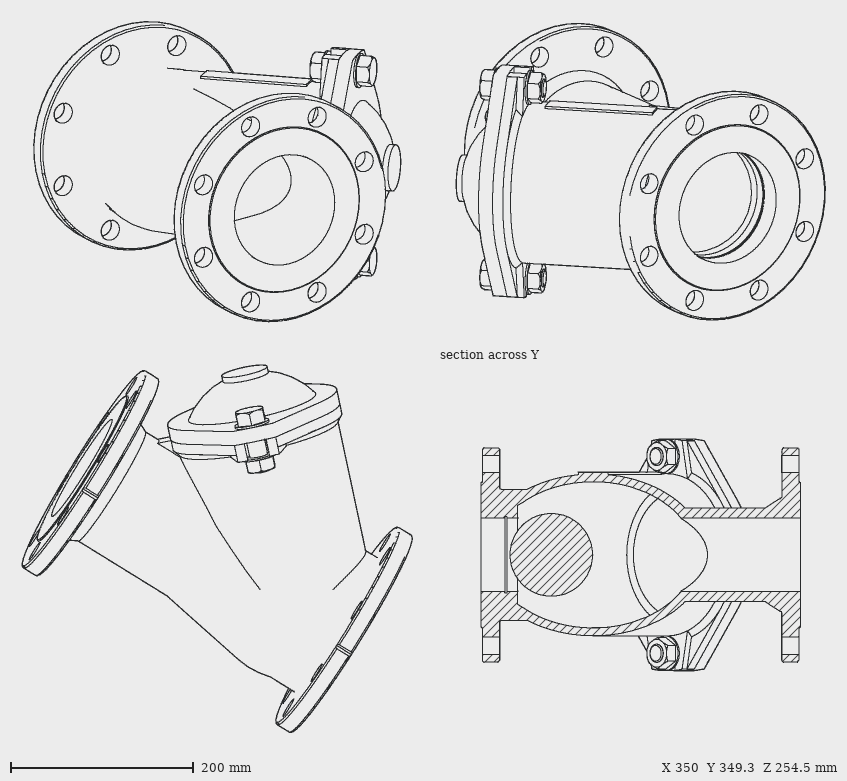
import cadquery as cq
import math

LENGTH = 350.0
FLANGE_RADIUS = 127.0
FLANGE_THICKNESS = 20.5
FLANGE_EDGE_FILLET = 2.0
FACE_RADIUS = 93.5
FACE_HEIGHT = 1.5
FACE_CHAMFER = 1.0
BOLT_CIRCLE_RADIUS = 107.8
BOLT_HOLE_DIAMETER = 22.5
BOLT_HOLE_COUNT = 8
NOTCH_WIDTH = 5.2
NOTCH_DEPTH = 2.5
NECK_RADIUS = 86.5
OUTLET_RADIUS = 70.5
OUTLET_START = 196.7
HUB_START = 311.5
HUB_RADIUS = 78.5
ROOT_FILLET = 1.8
BORE_RADIUS = 62.3
SEAT_END = 40.2
SEAT_GROOVE_START = 26.2
SEAT_GROOVE_WIDTH = 2.0
SEAT_GROOVE_DEPTH = 1.0

CHAMBER_X = 77.0
CHAMBER_OUTER_RADIUS = 90.0
WALL = 9.0
CHAMBER_RADIUS = CHAMBER_OUTER_RADIUS - WALL
BALL_RADIUS = 66.0

BRANCH_ANGLE = 46.0
BRANCH_RADIUS = 89.0
SEAM_HEIGHT = 201.5
HOUSING_FLANGE_THICKNESS = 11.5
RIM_CONE_HEIGHT = 7.5
COVER_THICKNESS = 15.8
RIM_RADIUS = 95.0
LUG_SPAN = 254.5
LUG_HALF_WIDTH = 23.0
LUG_EDGE_FILLET = 2.0
PAD_THICKNESS = 19.2
PAD_ROOT_HALF_WIDTH = 31.5
PAD_ROOT = 82.2
SLOT_WIDTH = 24.0
WEB_WIDTH = 25.2
WEB_REACH = 112.0
WEB_DEPTH = 26.2
NAMEPLATE_START = 41.0
NAMEPLATE_LENGTH = 120.5
NAMEPLATE_WIDTH = 23.8
NAMEPLATE_HEIGHT = 1.8

DOME_HEIGHT = 170.5
DOME_RADIUS = 85.5
PLUG_RADIUS = 25.5
PLUG_TOP = 258.3

BOLT_OFFSET = 107.8
SHANK_DIAMETER = 20.0
HEX_ACROSS_FLATS = 30.0
HEAD_HEIGHT = 14.7
NUT_HEIGHT = 14.0
WASHER_FACE_DIAMETER = 37.8
WASHER_FACE_THICKNESS = 2.0
SHANK_PROJECTION = 1.8
HEX_CORNER_CHAMFER = 2.0
SHANK_CHAMFER = 1.5

COVER_TOP = SEAM_HEIGHT + COVER_THICKNESS
PAD_BOTTOM = SEAM_HEIGHT - PAD_THICKNESS
NUT_BOTTOM = PAD_BOTTOM - WASHER_FACE_THICKNESS - NUT_HEIGHT
LUG_REACH = LUG_SPAN / 2
LUG_CORNER = math.sqrt(LUG_REACH**2 - LUG_HALF_WIDTH**2)
SIDES = (1, -1)


def on_branch(body):
    """Move a body built about the Z axis onto the branch axis, keeping its Y as the part's Z."""
    angle = math.radians(BRANCH_ANGLE)
    plane = cq.Plane(
        origin=(CHAMBER_X, 0, 0),
        xDir=(-math.sin(angle), math.cos(angle), 0),
        normal=(math.cos(angle), math.sin(angle), 0),
    )
    return cq.Workplane(body.val().moved(cq.Location(plane)))


def cylinder(radius, bottom, top):
    return cq.Workplane("XY").workplane(offset=bottom).circle(radius).extrude(top - bottom)


def tangent_point(radius, x, y):
    """Point where the line from (x, y) touches the upper side of a circle about the origin."""
    angle = math.atan2(y, x) + math.acos(radius / math.hypot(x, y))
    return radius * math.cos(angle), radius * math.sin(angle)


def revolved_about_pipe(profile):
    return profile.close().revolve(360, (0, 0, 0), (1, 0, 0))


def pipe_body():
    inlet_back = FLANGE_THICKNESS
    outlet_back = LENGTH - FLANGE_THICKNESS
    neck_end = CHAMBER_X - math.sqrt(CHAMBER_OUTER_RADIUS**2 - NECK_RADIUS**2)
    cone_x, cone_radius = tangent_point(CHAMBER_OUTER_RADIUS, OUTLET_START - CHAMBER_X, OUTLET_RADIUS)
    profile = (
        cq.Workplane("XY")
        .moveTo(inlet_back, 0)
        .lineTo(inlet_back, NECK_RADIUS + ROOT_FILLET)
        .radiusArc((inlet_back + ROOT_FILLET, NECK_RADIUS), -ROOT_FILLET)
        .lineTo(neck_end, NECK_RADIUS)
        .threePointArc((CHAMBER_X, CHAMBER_OUTER_RADIUS), (CHAMBER_X + cone_x, cone_radius))
        .lineTo(OUTLET_START, OUTLET_RADIUS)
        .lineTo(HUB_START, OUTLET_RADIUS)
        .lineTo(outlet_back - ROOT_FILLET, HUB_RADIUS)
        .radiusArc((outlet_back, HUB_RADIUS + ROOT_FILLET), -ROOT_FILLET)
        .lineTo(outlet_back, 0)
    )
    return revolved_about_pipe(profile)


def pipe_flange(face_x, inward):
    """Flange with its raised face at face_x; inward is +1 or -1 along X."""
    disc = (
        cq.Workplane("YZ")
        .workplane(offset=face_x + inward * FACE_HEIGHT)
        .circle(FLANGE_RADIUS)
        .extrude(inward * (FLANGE_THICKNESS - FACE_HEIGHT))
        .edges()
        .fillet(FLANGE_EDGE_FILLET)
    )
    face = (
        cq.Workplane("YZ")
        .workplane(offset=face_x)
        .circle(FACE_RADIUS)
        .extrude(inward * FLANGE_THICKNESS)
        .faces("<X" if inward > 0 else ">X")
        .chamfer(FACE_CHAMFER)
    )
    holes = (
        cq.Workplane("YZ")
        .workplane(offset=face_x)
        .polarArray(BOLT_CIRCLE_RADIUS, 180 / BOLT_HOLE_COUNT, 360, BOLT_HOLE_COUNT)
        .circle(BOLT_HOLE_DIAMETER / 2)
        .extrude(inward * FLANGE_THICKNESS)
    )
    notch = (
        cq.Workplane("YZ")
        .workplane(offset=face_x)
        .moveTo(0, -FLANGE_RADIUS + NOTCH_DEPTH)
        .lineTo(NOTCH_WIDTH, -FLANGE_RADIUS - NOTCH_DEPTH)
        .lineTo(-NOTCH_WIDTH, -FLANGE_RADIUS - NOTCH_DEPTH)
        .close()
        .extrude(inward * FLANGE_THICKNESS)
    )
    return disc.union(face).cut(holes).cut(notch)


def lugged_plate(bottom, top):
    """Round plate drawn out to a blunt lug on each side."""
    x, y = LUG_HALF_WIDTH, LUG_CORNER
    tangent_y, tangent_x = tangent_point(RIM_RADIUS, y, x)
    plate = (
        cq.Workplane("XY")
        .workplane(offset=bottom)
        .moveTo(tangent_x, -tangent_y)
        .threePointArc((RIM_RADIUS, 0), (tangent_x, tangent_y))
        .lineTo(x, y)
        .threePointArc((0, LUG_REACH), (-x, y))
        .lineTo(-tangent_x, tangent_y)
        .threePointArc((-RIM_RADIUS, 0), (-tangent_x, -tangent_y))
        .lineTo(-x, -y)
        .threePointArc((0, -LUG_REACH), (x, -y))
        .close()
        .extrude(top - bottom)
    )
    for lug_end in (">Y", "<Y"):
        plate = plate.edges("|Z").edges(lug_end).fillet(LUG_EDGE_FILLET)
    return plate


def lug_pad(side):
    """Thickened lug under the housing flange, widening towards the branch."""
    return (
        cq.Workplane("XY")
        .workplane(offset=PAD_BOTTOM)
        .moveTo(LUG_HALF_WIDTH, side * LUG_CORNER)
        .lineTo(PAD_ROOT_HALF_WIDTH, side * PAD_ROOT)
        .lineTo(-PAD_ROOT_HALF_WIDTH, side * PAD_ROOT)
        .lineTo(-LUG_HALF_WIDTH, side * LUG_CORNER)
        .threePointArc((0, side * LUG_REACH), (LUG_HALF_WIDTH, side * LUG_CORNER))
        .close()
        .extrude(PAD_THICKNESS)
    )


def bolt_slot(side):
    """Slot for a bolt, open at the end of the lug."""
    mouth_length = LUG_REACH - BOLT_OFFSET
    slot = cylinder(SLOT_WIDTH / 2, PAD_BOTTOM, SEAM_HEIGHT).translate((0, side * BOLT_OFFSET, 0))
    mouth = (
        cq.Workplane("XY")
        .workplane(offset=PAD_BOTTOM)
        .center(0, side * (BOLT_OFFSET + mouth_length / 2))
        .rect(SLOT_WIDTH, mouth_length)
        .extrude(PAD_THICKNESS)
    )
    return slot.union(mouth)


def nameplate():
    return (
        cq.Workplane("XZ")
        .center(0, NAMEPLATE_START + NAMEPLATE_LENGTH / 2)
        .rect(NAMEPLATE_WIDTH, NAMEPLATE_LENGTH)
        .extrude(-BRANCH_RADIUS - NAMEPLATE_HEIGHT)
    )


def rim_web():
    """Web that fills the gap between the housing flange and the outlet pipe."""
    return (
        cq.Workplane("XY")
        .box(WEB_REACH, WEB_WIDTH, WEB_DEPTH, centered=(False, True, False))
        .translate((-WEB_REACH, 0, SEAM_HEIGHT - WEB_DEPTH))
    )


def branch_body():
    flange_bottom = SEAM_HEIGHT - HOUSING_FLANGE_THICKNESS
    cone = (
        cq.Workplane("XY")
        .workplane(offset=flange_bottom - RIM_CONE_HEIGHT)
        .circle(BRANCH_RADIUS)
        .workplane(offset=RIM_CONE_HEIGHT)
        .circle(RIM_RADIUS)
        .loft()
    )
    branch = cylinder(BRANCH_RADIUS, 0, SEAM_HEIGHT).union(cone)
    branch = branch.union(lugged_plate(flange_bottom, SEAM_HEIGHT)).union(nameplate())
    branch = branch.union(rim_web())
    for side in SIDES:
        branch = branch.union(lug_pad(side)).cut(bolt_slot(side))
    return branch


def pipe_cavity():
    chamber_start_radius = math.sqrt(CHAMBER_RADIUS**2 - (CHAMBER_X - SEAT_END) ** 2)
    cone_x, cone_radius = tangent_point(CHAMBER_RADIUS, OUTLET_START - CHAMBER_X, BORE_RADIUS)
    profile = (
        cq.Workplane("XY")
        .moveTo(0, 0)
        .lineTo(0, BORE_RADIUS)
        .lineTo(SEAT_END, BORE_RADIUS)
        .lineTo(SEAT_END, chamber_start_radius)
        .threePointArc((CHAMBER_X, CHAMBER_RADIUS), (CHAMBER_X + cone_x, cone_radius))
        .lineTo(OUTLET_START, BORE_RADIUS)
        .lineTo(LENGTH, BORE_RADIUS)
        .lineTo(LENGTH, 0)
    )
    groove = (
        cq.Workplane("YZ")
        .workplane(offset=SEAT_GROOVE_START)
        .circle(BORE_RADIUS + SEAT_GROOVE_DEPTH)
        .extrude(SEAT_GROOVE_WIDTH)
    )
    return revolved_about_pipe(profile).union(groove)


def branch_cavity():
    """Bore of the branch, stopping short of the ring around the inlet bore."""
    bore = on_branch(cylinder(BRANCH_RADIUS - WALL, 0, SEAM_HEIGHT))
    inlet_ring = cq.Workplane("YZ").circle(NECK_RADIUS).extrude(SEAT_END)
    return bore.cut(inlet_ring)


def make_housing():
    body = pipe_body().union(on_branch(branch_body()))
    body = body.union(pipe_flange(0, 1)).union(pipe_flange(LENGTH, -1))
    return body.cut(pipe_cavity()).cut(branch_cavity())


def make_cover():
    dome = cq.Workplane("XY").sphere(DOME_RADIUS).translate((0, 0, DOME_HEIGHT))
    hollow = cq.Workplane("XY").sphere(DOME_RADIUS - WALL).translate((0, 0, DOME_HEIGHT))
    below_seam = cylinder(2 * RIM_RADIUS, 0, SEAM_HEIGHT)
    cover = lugged_plate(SEAM_HEIGHT, COVER_TOP).union(dome.cut(below_seam)).cut(hollow)
    plug_bottom = DOME_HEIGHT + DOME_RADIUS - WALL
    cover = cover.union(cylinder(PLUG_RADIUS, plug_bottom, PLUG_TOP))
    for side in SIDES:
        hole = cylinder(SHANK_DIAMETER / 2, SEAM_HEIGHT, COVER_TOP).translate((0, side * BOLT_OFFSET, 0))
        cover = cover.cut(hole)
    return on_branch(cover)


def hexagon(bottom, height, chamfered_end):
    """Hexagonal prism with two corners on Y, trimmed by a cone at one end."""
    corner_diameter = HEX_ACROSS_FLATS / math.cos(math.pi / 6)
    prism = (
        cq.Workplane("XY")
        .workplane(offset=bottom)
        .transformed(rotate=(0, 0, 90))
        .polygon(6, corner_diameter)
        .extrude(height)
    )
    trim = (
        cylinder(corner_diameter / 2, bottom, bottom + height)
        .faces(chamfered_end)
        .chamfer(HEX_CORNER_CHAMFER)
    )
    return prism.intersect(trim)


def make_bolt(side):
    head_bottom = COVER_TOP + WASHER_FACE_THICKNESS
    bolt = (
        cylinder(SHANK_DIAMETER / 2, NUT_BOTTOM - SHANK_PROJECTION, head_bottom)
        .faces("<Z")
        .chamfer(SHANK_CHAMFER)
        .union(cylinder(WASHER_FACE_DIAMETER / 2, COVER_TOP, head_bottom))
        .union(hexagon(head_bottom, HEAD_HEIGHT, ">Z"))
    )
    return on_branch(bolt.translate((0, side * BOLT_OFFSET, 0)))


def make_nut(side):
    nut = (
        hexagon(NUT_BOTTOM, NUT_HEIGHT, "<Z")
        .union(cylinder(WASHER_FACE_DIAMETER / 2, PAD_BOTTOM - WASHER_FACE_THICKNESS, PAD_BOTTOM))
        .cut(cylinder(SHANK_DIAMETER / 2, NUT_BOTTOM, PAD_BOTTOM))
    )
    return on_branch(nut.translate((0, side * BOLT_OFFSET, 0)))


def make_ball():
    return cq.Workplane("XY").sphere(BALL_RADIUS).translate((CHAMBER_X, 0, 0))


housing = make_housing()
cover = make_cover()
ball = make_ball()
bolts = [make_bolt(side) for side in SIDES]
nuts = [make_nut(side) for side in SIDES]

result = cq.Compound.makeCompound(
    [
        housing.val(),
        cover.val(),
        ball.val(),
        *[bolt.val() for bolt in bolts],
        *[nut.val() for nut in nuts],
    ]
)